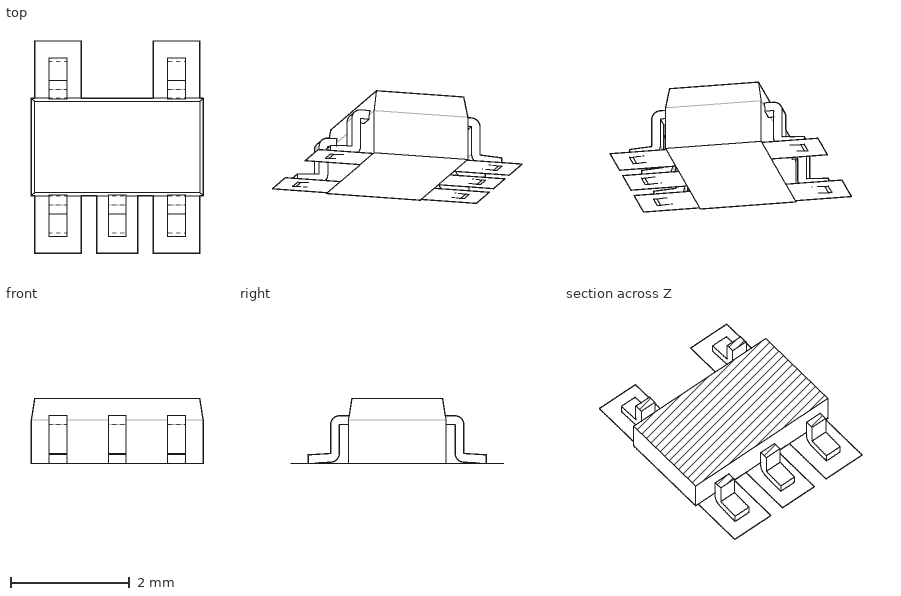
import cadquery as cq
import math

body_length = 2.9
body_width = 1.647
body_height = 1.1
straight_height = 0.735
top_inset = 0.057

lead_pitch = 1.0
lead_width = 0.3
lead_thickness = 0.15
lead_top = 0.81
lead_shin_reach = 1.125
lead_tip_reach = 1.505
foot_slope = math.radians(3.5)
lead_embed = 0.07

pad_reach = 1.79
pad_thickness = 0.005
outer_pad_width = 0.79
middle_pad_width = 0.698


def make_body():
    base = cq.Workplane("XY").box(body_length, body_width, straight_height, centered=(True, True, False))
    top_height = body_height - straight_height
    taper_angle = math.degrees(math.atan(top_inset / top_height))
    cap = (
        cq.Workplane("XY", origin=(0, 0, straight_height))
        .rect(body_length, body_width)
        .extrude(top_height, taper=taper_angle)
    )
    return base.union(cap)


def make_lead(x):
    """Lead on the +Y side: shelf, upright and sloping foot, each bend centred on its inner corner."""
    root = body_width / 2 - lead_embed
    shin_inner = lead_shin_reach - lead_thickness
    shelf_bottom = lead_top - lead_thickness
    tip_top = lead_thickness / math.cos(foot_slope)
    heel_z = tip_top + (lead_tip_reach - lead_shin_reach) * math.tan(foot_slope)

    def bend_point(center_y, center_z, angle):
        return (
            center_y + lead_thickness * math.cos(angle),
            center_z + lead_thickness * math.sin(angle),
        )

    heel_end = 1.5 * math.pi - foot_slope
    heel_middle = (math.pi + heel_end) / 2
    return (
        cq.Workplane("YZ", origin=(x - lead_width / 2, 0, 0))
        .moveTo(root, lead_top)
        .lineTo(shin_inner, lead_top)
        .threePointArc(bend_point(shin_inner, shelf_bottom, math.pi / 4), (lead_shin_reach, shelf_bottom))
        .lineTo(lead_shin_reach, heel_z)
        .lineTo(lead_tip_reach, tip_top)
        .lineTo(lead_tip_reach, 0)
        .lineTo(*bend_point(lead_shin_reach, heel_z, heel_end))
        .threePointArc(bend_point(lead_shin_reach, heel_z, heel_middle), (shin_inner, heel_z))
        .lineTo(shin_inner, shelf_bottom)
        .lineTo(root, shelf_bottom)
        .close()
        .extrude(lead_width)
    )


def make_pad(x, width):
    """Pad on the +Y side, running under the body to the centre plane."""
    return cq.Workplane("XY").box(width, pad_reach, pad_thickness, centered=(True, False, False)).translate((x, 0, 0))


def make_terminal(x, pad_width):
    return make_lead(x).union(make_pad(x, pad_width))


result = make_body()

for x in (-lead_pitch, lead_pitch):
    terminal = make_terminal(x, outer_pad_width)
    result = result.union(terminal).union(terminal.mirror("XZ"))

result = result.union(make_terminal(0, middle_pad_width).mirror("XZ"))